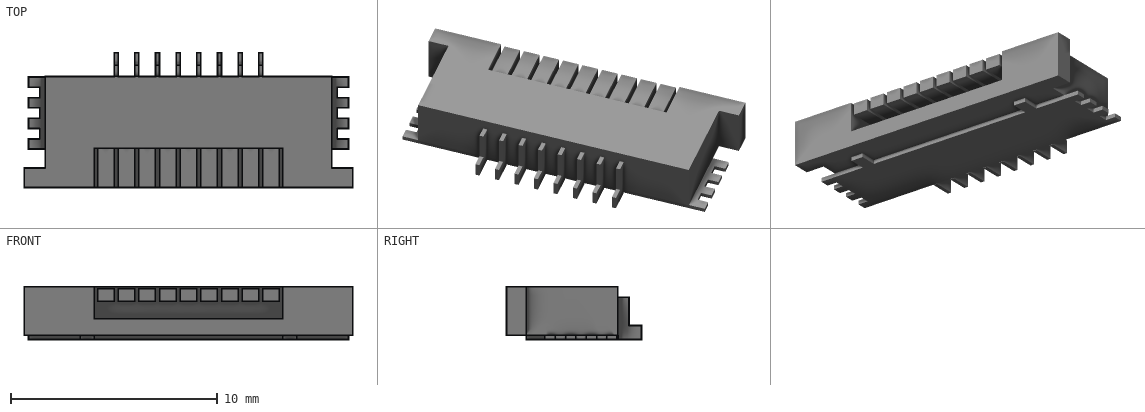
import cadquery as cq


wing_span = 15.92
wing_depth = 0.95
housing_width = 13.88
housing_depth = 5.4
housing_bottom = 0.2
housing_top = 2.56

pin_count = 8
pin_row_span = 7.0
pitch = pin_row_span / (pin_count - 1)

finger_count = pin_count + 1
finger_gap = 0.2
finger_width = pitch - finger_gap
finger_bottom = 1.86
finger_top = 2.47
recess_width = 9.15
recess_depth = 1.91
recess_floor = 1.0

pin_width = finger_gap
pin_top = 2.05
pin_post_back = 5.94
pin_foot_height = 0.68
overall_depth = 6.55

plate_front = 1.86
plate_root_width = 14.42
tooth_count = 4
tooth_length = pitch / 2
tooth_span = 15.5
tab_inner_x = recess_width / 2
tab_width = 0.67


def block(x_range, y_range, z_range):
    """Box filling the given X, Y and Z ranges."""
    size = [high - low for low, high in (x_range, y_range, z_range)]
    corner = (x_range[0], y_range[0], z_range[0])
    return cq.Workplane("XY").box(*size, centered=False).translate(corner)


def centered(width, middle=0.0):
    """Range of the given width around a middle position."""
    return (middle - width / 2, middle + width / 2)


def row_positions(count):
    """X positions of a row at the contact pitch, centered on the part."""
    return [(i - (count - 1) / 2) * pitch for i in range(count)]


def make_housing():
    height = (housing_bottom, housing_top)
    body = block(centered(housing_width), (0, housing_depth), height)
    wings = block(centered(wing_span), (0, wing_depth), height)
    recess = block(centered(recess_width), (0, recess_depth), (recess_floor, housing_top))
    return body.union(wings).cut(recess)


def make_finger(x):
    return block(centered(finger_width, x), (0, recess_depth), (finger_bottom, finger_top))


def make_pin(x):
    outline = [
        (housing_depth, 0),
        (overall_depth, 0),
        (overall_depth, pin_foot_height),
        (pin_post_back, pin_foot_height),
        (pin_post_back, pin_top),
        (housing_depth, pin_top),
    ]
    profile = cq.Workplane("YZ").polyline(outline).close()
    return profile.extrude(pin_width / 2, both=True).translate((x, 0, 0))


def make_solder_plate():
    height = (0, housing_bottom)
    plate_back = plate_front + (tooth_count - 1) * pitch + tooth_length
    plate = block(centered(plate_root_width), (plate_front, plate_back), height)
    for i in range(tooth_count):
        tooth_front = plate_front + i * pitch
        tooth_range = (tooth_front, tooth_front + tooth_length)
        plate = plate.union(block(centered(tooth_span), tooth_range, height))
    for side in (-1, 1):
        tab_middle = side * (tab_inner_x + tab_width / 2)
        tab = block(centered(tab_width, tab_middle), (wing_depth, plate_front), height)
        plate = plate.union(tab)
    return plate


result = make_housing().union(make_solder_plate())
for x in row_positions(finger_count):
    result = result.union(make_finger(x))
for x in row_positions(pin_count):
    result = result.union(make_pin(x))